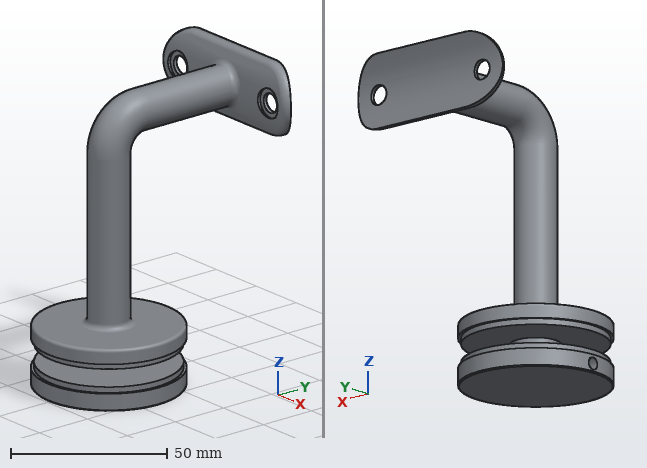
import cadquery as cq
import math


disc_diameter = 50.0
gasket_diameter = 48.0
bush_diameter = 16.1
cover_thickness = 6.0
gasket_thickness = 2.0
glass_gap = 6.1
flange_thickness = 5.0
flange_edge_fillet = 1.0
cover_edge_chamfer = 0.4
bush_edge_chamfer = 0.4

lower_gasket_z = cover_thickness
bush_z = lower_gasket_z + gasket_thickness
upper_gasket_z = bush_z + glass_gap
flange_z = upper_gasket_z + gasket_thickness
flange_top_z = flange_z + flange_thickness

spanner_hole_diameter = 4.0
spanner_hole_z = 3.0
spanner_hole_depth = 4.0
drill_tip_angle = 118

total_height = 103.5
rod_diameter = 14.0
bend_radius = 12.0
weld_fillet = 2.0

saddle_length = 63.0
saddle_width = 25.0
saddle_thickness = 2.3
rail_radius = 21.2
saddle_edge_fillet = 2.5
saddle_back_y = 53.8
screw_spacing = 45.0
screw_hole_diameter = 6.6
counterbore_diameter = 10.0
counterbore_depth = 1.0

arm_z = total_height - saddle_width / 2
rail_axis_y = saddle_back_y + math.sqrt(rail_radius**2 - (saddle_width / 2) ** 2)
saddle_outer_radius = rail_radius + saddle_thickness
saddle_front_y = rail_axis_y - saddle_outer_radius


def disc(diameter, thickness, base_z):
    """Solid round disc on the post axis, standing on base_z."""
    return cq.Workplane("XY", origin=(0, 0, base_z)).circle(diameter / 2).extrude(thickness)


def rail_cylinder(radius):
    """Cylinder around the handrail axis, as long as the saddle."""
    return (
        cq.Workplane("YZ", origin=(-saddle_length / 2, rail_axis_y, arm_z))
        .circle(radius)
        .extrude(saddle_length)
    )


def make_saddle_blank():
    """Curved strip with rounded ends and a filleted outer edge."""
    outline = (
        cq.Workplane("XZ", origin=(0, rail_axis_y, arm_z))
        .slot2D(saddle_length, saddle_width)
        .extrude(saddle_outer_radius)
    )
    outer = outline.intersect(rail_cylinder(saddle_outer_radius))
    rounded = outer.faces("<Y").edges().fillet(saddle_edge_fillet)
    return rounded.cut(rail_cylinder(rail_radius))


def make_rod():
    """Upright post that bends into a horizontal arm ending inside the saddle."""
    arm_end_y = saddle_front_y + saddle_thickness / 2
    path = (
        cq.Workplane("YZ")
        .moveTo(0, flange_z)
        .lineTo(0, arm_z - bend_radius)
        .radiusArc((bend_radius, arm_z), bend_radius)
        .lineTo(arm_end_y, arm_z)
    )
    profile = cq.Workplane("XY", origin=(0, 0, flange_z)).circle(rod_diameter / 2)
    return profile.sweep(path)


def make_screw_holes():
    """Cutters for the two counterbored screw holes, opening toward -Y."""
    seats = cq.Workplane("XZ", origin=(0, saddle_front_y + counterbore_depth, arm_z))
    centres = [(-screw_spacing / 2, 0), (screw_spacing / 2, 0)]
    counterbores = seats.pushPoints(centres).circle(counterbore_diameter / 2).extrude(saddle_thickness)
    through_holes = seats.pushPoints(centres).circle(screw_hole_diameter / 2).extrude(-saddle_thickness)
    return counterbores.union(through_holes)


def edges_near(y, z):
    """Selector for the edges centred on the plane X = 0 at the given Y and Z."""
    reach = 1.0
    return cq.selectors.BoxSelector((-reach, y - reach, z - reach), (reach, y + reach, z + reach))


def make_bracket():
    """Flange, bent rod and saddle, joined by weld fillets."""
    flange = disc(disc_diameter, flange_thickness, flange_z).faces(">Z").edges().fillet(flange_edge_fillet)
    joined = flange.union(make_rod()).union(make_saddle_blank())
    welded_foot = joined.edges(edges_near(0, flange_top_z)).fillet(weld_fillet)
    welded = welded_foot.edges(edges_near(saddle_front_y, arm_z)).fillet(weld_fillet)
    return welded.cut(make_screw_holes())


def make_gasket(base_z):
    """Flat round pad that rests against the glass."""
    return disc(gasket_diameter, gasket_thickness, base_z)


def make_bush():
    """Spacer through the glass, with a chamfered lower edge."""
    return disc(bush_diameter, glass_gap, bush_z).faces("<Z").edges().chamfer(bush_edge_chamfer)


def make_cover():
    """Lower disc with a chamfered underside and a spanner hole in its -X rim."""
    blank = disc(disc_diameter, cover_thickness, 0).faces("<Z").edges().chamfer(cover_edge_chamfer)
    rim_x = -disc_diameter / 2
    hole_radius = spanner_hole_diameter / 2
    tip_length = hole_radius / math.tan(math.radians(drill_tip_angle / 2))
    drill = (
        cq.Workplane("XZ")
        .moveTo(rim_x, spanner_hole_z)
        .lineTo(rim_x, spanner_hole_z + hole_radius)
        .lineTo(rim_x + spanner_hole_depth, spanner_hole_z + hole_radius)
        .lineTo(rim_x + spanner_hole_depth + tip_length, spanner_hole_z)
        .close()
        .revolve(360, (rim_x, spanner_hole_z), (rim_x + 1, spanner_hole_z))
    )
    return blank.cut(drill)


bracket = make_bracket()
gaskets = [make_gasket(base_z) for base_z in (lower_gasket_z, upper_gasket_z)]
bush = make_bush()
cover = make_cover()

result = cq.Compound.makeCompound(
    [bracket.val(), bush.val(), cover.val(), *[gasket.val() for gasket in gaskets]]
)